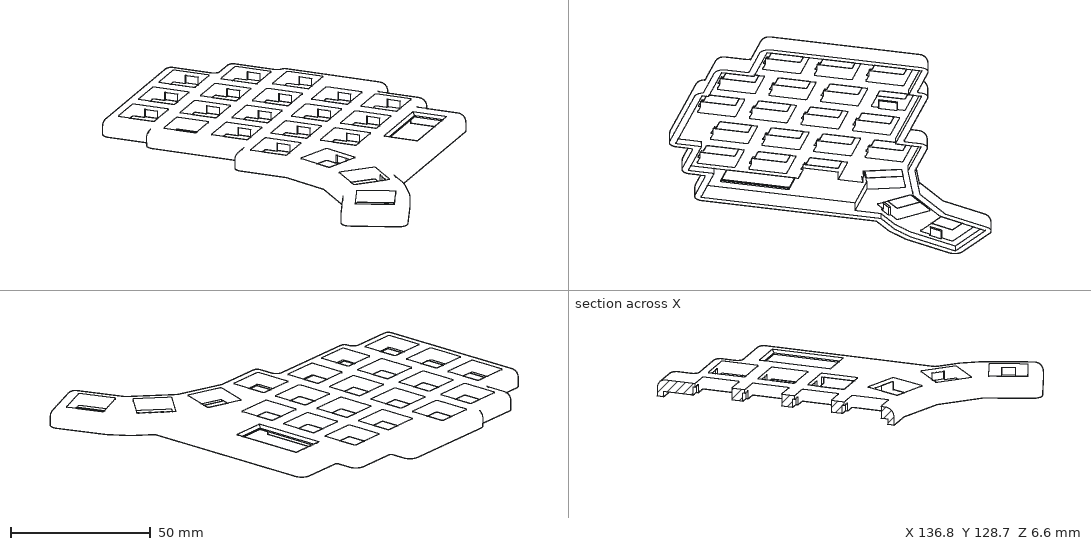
import cadquery as cq
import math


PITCH = 19.05
HALF_PITCH = PITCH / 2
HEIGHT = 6.6
RIM = 2.5
CORNER_RADIUS = 3.5
NOOK_RADIUS = 0.8
TOP_ROUND = 3.3

KEY_PLATE = 4.6
LIP = 1.5

SWITCH_HOLE = 14.0
HOLE_CORNER = 0.5
CLIP_WIDTH = 5.0
CLIP_DEPTH = 0.8

SMALL_HOLE = 12.5
SMALL_CLIP_WIDTH = 6.8
SMALL_HOLE_LIFT = PITCH / 16

WINDOW_WIDTH = 11.0
WINDOW_LENGTH = 25.2
WINDOW_CHAMFER = 1.0
WINDOW_LIFT = 0.25

POCKET_BOTTOM = -4.5
POCKET_OVERHANG = 2.7

COLUMN_BASES = [0, -0.375 * PITCH, -0.25 * PITCH, -0.75 * PITCH, 0.25 * PITCH]
COLUMN_KEYS = [3, 4, 4, 4, 3]
SMALL_HOLE_COLUMN = 1

THUMB_ANGLES = [-20, -45, -70]
THUMB_END_EXTRA = 0.4

COLUMN_LEFT = [column * PITCH for column in range(len(COLUMN_BASES) + 1)]
COLUMN_TOPS = [base + keys * PITCH for base, keys in zip(COLUMN_BASES, COLUMN_KEYS)]
WINDOW_TOP = COLUMN_TOPS[4] - HALF_PITCH
RIGHT_SIDE = COLUMN_LEFT[5] + PITCH
WINDOW_CENTER = (COLUMN_LEFT[5] + HALF_PITCH, WINDOW_TOP - PITCH + WINDOW_LIFT)
POCKET_LEFT = COLUMN_LEFT[5] - POCKET_OVERHANG
POCKET_STEP = COLUMN_BASES[4] + HALF_PITCH + SWITCH_HOLE / 2


def turned(x, y, angle):
    """The vector (x, y) turned by an angle in degrees."""
    c = math.cos(math.radians(angle))
    s = math.sin(math.radians(angle))
    return x * c - y * s, x * s + y * c


def placed(center, x, y, angle):
    """A point given in the turned frame of a key."""
    dx, dy = turned(x, y, angle)
    return center[0] + dx, center[1] + dy


def thumb_centers():
    """Each thumb square touches the lower right corner of the square before it."""
    centers = []
    hinge = (COLUMN_LEFT[4], COLUMN_BASES[3])
    for angle in THUMB_ANGLES:
        center = placed(hinge, HALF_PITCH, HALF_PITCH, angle)
        hinge = placed(center, HALF_PITCH, -HALF_PITCH, angle)
        centers.append(center)
    return centers


THUMB_CENTERS = thumb_centers()


def outline():
    """The key area: corner points of the unit squares, before the rim is added."""
    first, middle, last = THUMB_CENTERS
    a1, a2, a3 = THUMB_ANGLES
    half = HALF_PITCH
    end = half + THUMB_END_EXTRA
    corner = placed(middle, half, half, a2)
    side_meet = corner[1] + (corner[0] - RIGHT_SIDE) * math.tan(math.radians(-a2))
    return [
        (COLUMN_LEFT[0], COLUMN_BASES[0]),
        (COLUMN_LEFT[0], COLUMN_TOPS[0]),
        (COLUMN_LEFT[1], COLUMN_TOPS[0]),
        (COLUMN_LEFT[1], COLUMN_TOPS[1]),
        (COLUMN_LEFT[2], COLUMN_TOPS[1]),
        (COLUMN_LEFT[2], COLUMN_TOPS[2]),
        (COLUMN_LEFT[4], COLUMN_TOPS[2]),
        (COLUMN_LEFT[4], COLUMN_TOPS[4]),
        (COLUMN_LEFT[5], COLUMN_TOPS[4]),
        (COLUMN_LEFT[5], WINDOW_TOP),
        (RIGHT_SIDE, WINDOW_TOP),
        (RIGHT_SIDE, side_meet),
        corner,
        placed(last, -half, half, a3),
        placed(last, end, half, a3),
        placed(last, end, -half, a3),
        placed(middle, half, -half, a2),
        placed(first, half, -half, a1),
        (COLUMN_LEFT[4], COLUMN_BASES[3]),
        (COLUMN_LEFT[3], COLUMN_BASES[3]),
        (COLUMN_LEFT[3], COLUMN_BASES[2]),
        (COLUMN_LEFT[1], COLUMN_BASES[2]),
        (COLUMN_LEFT[1], COLUMN_BASES[0]),
    ]


def body():
    """The rounded plate: outer corners first, then inner corners, then the upper edge."""
    key_area = cq.Workplane("XY").polyline(outline()).close()
    inset = key_area.offset2D(RIM - CORNER_RADIUS, "intersection")
    outer_rounded = inset.offset2D(CORNER_RADIUS + NOOK_RADIUS, "arc")
    rounded = outer_rounded.offset2D(-NOOK_RADIUS, "arc")
    return rounded.extrude(HEIGHT).faces(">Z").edges().fillet(TOP_ROUND)


def underside_cavity():
    """Shallow cavity under the whole key area, inside the rim."""
    return cq.Workplane("XY").polyline(outline()).close().extrude(HEIGHT - KEY_PLATE)


def pocket(left, bottom, right, top):
    """Deep rectangular pocket from below, leaving only the lip thickness."""
    return cq.Workplane("XY").box(right - left, top - bottom, HEIGHT - LIP, centered=False).translate(
        (left, bottom, 0)
    )


def electronics_pocket():
    """Room under the window, widened to the left beside the lowest key of the last column."""
    upper = pocket(COLUMN_LEFT[5], POCKET_BOTTOM, RIGHT_SIDE, WINDOW_TOP)
    lower = pocket(POCKET_LEFT, POCKET_BOTTOM, RIGHT_SIDE, POCKET_STEP)
    return upper.union(lower)


def square_hole(size):
    hole = cq.Workplane("XY").rect(size, size).extrude(HEIGHT)
    return hole.edges("|Z").fillet(HOLE_CORNER)


def clip_recess(hole_size, width, side_angle):
    """Recess behind one wall of a square hole, below the upper lip and open downward."""
    recess = (
        cq.Workplane("XY")
        .center(0, hole_size / 2)
        .rect(width, 2 * CLIP_DEPTH)
        .extrude(HEIGHT - LIP)
    )
    return recess.rotate((0, 0, 0), (0, 0, 1), side_angle)


def switch_cutter():
    """Switch hole with its clip recess in the +Y wall."""
    return square_hole(SWITCH_HOLE).union(clip_recess(SWITCH_HOLE, CLIP_WIDTH, 0))


def small_cutter():
    """Small hole with its recess in the +X wall."""
    return square_hole(SMALL_HOLE).union(clip_recess(SMALL_HOLE, SMALL_CLIP_WIDTH, -90))


def window_cutter():
    """Display window with a chamfered upper edge."""
    x, y = WINDOW_CENTER
    window = cq.Workplane("XY").center(x, y).rect(WINDOW_WIDTH, WINDOW_LENGTH).extrude(HEIGHT)
    flare = (
        cq.Workplane("XY", origin=(x, y, HEIGHT))
        .rect(WINDOW_WIDTH + 2 * WINDOW_CHAMFER, WINDOW_LENGTH + 2 * WINDOW_CHAMFER)
        .workplane(offset=-WINDOW_CHAMFER)
        .rect(WINDOW_WIDTH, WINDOW_LENGTH)
        .loft(ruled=True)
    )
    return window.union(flare)


def cut_keys(plate):
    for column, (base, keys) in enumerate(zip(COLUMN_BASES, COLUMN_KEYS)):
        x = COLUMN_LEFT[column] + HALF_PITCH
        for row in range(keys):
            y = base + row * PITCH + HALF_PITCH
            if column == SMALL_HOLE_COLUMN and row == 0:
                cutter = small_cutter().translate((x, y + SMALL_HOLE_LIFT, 0))
            else:
                cutter = switch_cutter().translate((x, y, 0))
            plate = plate.cut(cutter)
    for (x, y), angle in zip(THUMB_CENTERS, THUMB_ANGLES):
        cutter = switch_cutter().rotate((0, 0, 0), (0, 0, 1), angle)
        plate = plate.cut(cutter.translate((x, y, 0)))
    return plate


plate = body().cut(underside_cavity()).cut(electronics_pocket())
result = cut_keys(plate).cut(window_cutter())